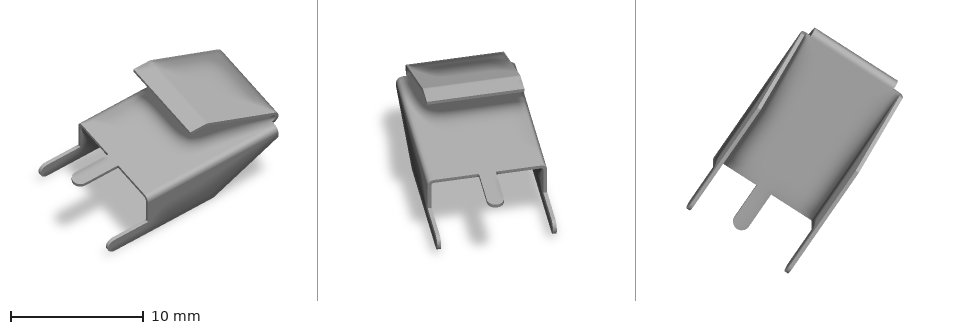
import cadquery as cq
import math

sheet = 0.3
width = 9.2
length = 16.25
bend_radius = 0.5
wall_depth = 4.08
plate_front = 3.67
tab_width = 1.3
tip_radius = tab_width / 2

rear_wall_depth = 1.0
slope_start = 9.68

spring_width = 7.5
spring_height = 3.92
hook_radius = 0.6
crest_radius = 0.73
crest_bend_y = 9.49
lip_end = 8.14
plate_rear = length - hook_radius


def channel():
    """Plate with two side walls, rounded along its long edges."""
    outer = (
        cq.Workplane("XY")
        .box(width, plate_rear, wall_depth, centered=(True, False, False))
        .translate((0, 0, -wall_depth))
        .edges("|Y and >Z")
        .fillet(bend_radius)
    )
    inner = (
        cq.Workplane("XY")
        .box(width - 2 * sheet, plate_rear, wall_depth, centered=(True, False, False))
        .translate((0, 0, -wall_depth - sheet))
        .edges("|Y and >Z")
        .fillet(bend_radius - sheet)
    )
    return outer.cut(inner)


def wall_profile():
    """Side outline that gives the walls their tapered rear and front legs."""
    leg_top = tab_width - wall_depth
    return (
        cq.Workplane("YZ")
        .moveTo(plate_front, 0)
        .lineTo(plate_rear, 0)
        .lineTo(plate_rear, -rear_wall_depth)
        .lineTo(slope_start, -wall_depth)
        .lineTo(tip_radius, -wall_depth)
        .threePointArc((0, tip_radius - wall_depth), (tip_radius, leg_top))
        .lineTo(plate_front, leg_top)
        .close()
        .extrude(width / 2, both=True)
    )


def centre_tab():
    """Round-ended tab in the plane of the plate."""
    return (
        cq.Workplane("XY")
        .moveTo(-tip_radius, plate_front)
        .lineTo(-tip_radius, tip_radius)
        .threePointArc((0, 0), (tip_radius, tip_radius))
        .lineTo(tip_radius, plate_front)
        .close()
        .extrude(-sheet)
    )


def spring():
    """Strip that hooks up from the plate's rear, leans forward and ends in a flat lip."""
    hook = (plate_rear, hook_radius - sheet)
    crest = (crest_bend_y, spring_height - crest_radius)

    dy = crest[0] - hook[0]
    dz = crest[1] - hook[1]
    normal = math.atan2(dz, dy) - math.acos((hook_radius - crest_radius) / math.hypot(dy, dz))

    def on_arc(centre, radius, angle):
        return (centre[0] + radius * math.cos(angle), centre[1] + radius * math.sin(angle))

    crest_middle = (normal + math.pi / 2) / 2
    hook_inner = hook_radius - sheet
    crest_inner = crest_radius - sheet
    return (
        cq.Workplane("YZ")
        .moveTo(plate_rear, -sheet)
        .threePointArc(on_arc(hook, hook_radius, 0), on_arc(hook, hook_radius, normal))
        .lineTo(*on_arc(crest, crest_radius, normal))
        .threePointArc(on_arc(crest, crest_radius, crest_middle), (crest_bend_y, spring_height))
        .lineTo(lip_end, spring_height)
        .lineTo(lip_end, spring_height - sheet)
        .lineTo(crest_bend_y, spring_height - sheet)
        .threePointArc(on_arc(crest, crest_inner, crest_middle), on_arc(crest, crest_inner, normal))
        .lineTo(*on_arc(hook, hook_inner, normal))
        .threePointArc(on_arc(hook, hook_inner, 0), (plate_rear, 0))
        .close()
        .extrude(spring_width / 2, both=True)
    )


result = channel().intersect(wall_profile()).union(centre_tab()).union(spring())